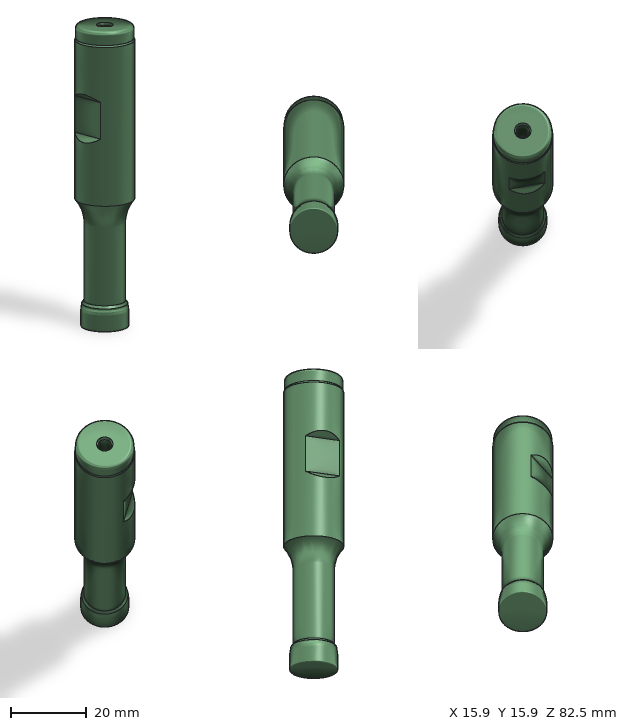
import cadquery as cq
import math

total_length = 82.55

shank_diameter = 15.88
pilot_diameter = 15.47
pilot_length = 3.6
pilot_taper_length = 0.5
top_fillet = 1.0
shank_length = 47.6

neck_diameter = 11.0
flare_radius = 9.6

head_diameter = 12.7
head_shoulder_diameter = 12.5
collar_diameter = 12.2
head_edge_fillet = 0.25
head_straight_top = 4.5
head_taper_top = 5.3
collar_bottom = 5.8
collar_top = 6.3
collar_taper_top = 7.0

flat_depth = 1.6
flat_length = 10.0
flat_top_from_end = 19.2
flat_ramp_angle = 45.0

hole_diameter = 3.5
countersink_diameter = 4.3
countersink_angle = 60.0
hole_depth = 10.0
drill_point_angle = 118.0

shank_radius = shank_diameter / 2
pilot_radius = pilot_diameter / 2
neck_radius = neck_diameter / 2
head_radius = head_diameter / 2
head_shoulder_radius = head_shoulder_diameter / 2
collar_radius = collar_diameter / 2


def make_body():
    """Revolve the half outline of the head, neck and shank about Z."""
    shank_bottom = total_length - shank_length
    pilot_bottom = total_length - pilot_length

    flare_center_r = neck_radius + flare_radius
    flare_angle = math.acos((flare_center_r - shank_radius) / flare_radius)
    flare_bottom = shank_bottom - flare_radius * math.sin(flare_angle)
    flare_middle = (
        flare_center_r - flare_radius * math.cos(flare_angle / 2),
        flare_bottom + flare_radius * math.sin(flare_angle / 2),
    )

    outline = (
        cq.Workplane("XZ")
        .moveTo(0, 0)
        .lineTo(head_radius, 0)
        .lineTo(head_radius, head_straight_top)
        .lineTo(head_shoulder_radius, head_taper_top)
        .lineTo(collar_radius, collar_bottom)
        .lineTo(collar_radius, collar_top)
        .lineTo(neck_radius, collar_taper_top)
        .lineTo(neck_radius, flare_bottom)
        .threePointArc(flare_middle, (shank_radius, shank_bottom))
        .lineTo(shank_radius, pilot_bottom - pilot_taper_length)
        .lineTo(pilot_radius, pilot_bottom)
        .lineTo(pilot_radius, total_length)
        .lineTo(0, total_length)
        .close()
    )
    body = outline.revolve(360, (0, 0, 0), (0, 1, 0))
    body = body.faces(">Z").edges().fillet(top_fillet)
    return body.faces("<Z").edges().fillet(head_edge_fillet)


def make_flat_cutter():
    """Prism with ramped ends that leaves the clamping flat on the -Y side."""
    flat_y = -(shank_radius - flat_depth)
    outer_y = -shank_diameter
    flat_top = total_length - flat_top_from_end
    flat_bottom = flat_top - flat_length
    ramp_rise = (flat_y - outer_y) * math.tan(math.radians(flat_ramp_angle))
    return (
        cq.Workplane("YZ")
        .moveTo(flat_y, flat_bottom)
        .lineTo(flat_y, flat_top)
        .lineTo(outer_y, flat_top + ramp_rise)
        .lineTo(outer_y, flat_bottom - ramp_rise)
        .close()
        .extrude(shank_radius, both=True)
    )


def make_hole_cutter():
    """Countersunk blind hole with a drill point, on the Z axis."""
    hole_radius = hole_diameter / 2
    hole_bottom = total_length - hole_depth
    countersink_radius = countersink_diameter / 2
    countersink_depth = (countersink_radius - hole_radius) / math.tan(math.radians(countersink_angle / 2))
    point_depth = hole_radius / math.tan(math.radians(drill_point_angle / 2))
    return (
        cq.Workplane("XZ")
        .moveTo(0, total_length)
        .lineTo(countersink_radius, total_length)
        .lineTo(hole_radius, total_length - countersink_depth)
        .lineTo(hole_radius, hole_bottom)
        .lineTo(0, hole_bottom - point_depth)
        .close()
        .revolve(360, (0, 0, 0), (0, 1, 0))
    )


result = make_body().cut(make_flat_cutter()).cut(make_hole_cutter())